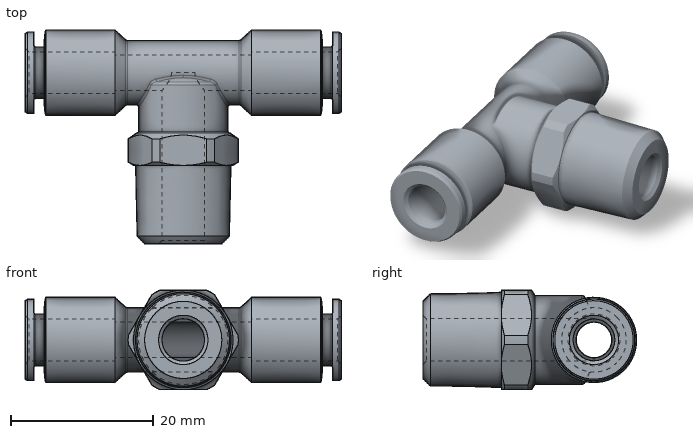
import cadquery as cq
import math


run_half_length = 22.2
run_tube_radius = 4.55
sleeve_radius = 6.0
sleeve_cone_start = 8.0
sleeve_cone_end = 9.6
sleeve_end = 19.55
sleeve_edge_length = 0.15
sleeve_edge_drop = 0.2
sleeve_crown_length = 0.25
sleeve_crown_radius = 4.45
cone_root_fillet = 0.45

collar_neck_radius = 3.65
collar_radius = 5.73
collar_thickness = 1.25
collar_edge_length = 0.35
collar_edge_drop = 0.2
collar_root_fillet = 0.2

passage_radius = 2.5
socket_radius = 2.95
socket_mouth_radius = 3.45
socket_floor = sleeve_cone_end

branch_radius = 6.25
cap_tip_radius = 4.35
cap_tip = 0.55
cap_rim = 1.4
cap_rim_fillet = 0.5
junction_fillet = 0.35

hex_top = 8.3
hex_bottom = 13.0
hex_across_flats = 14.0
hex_corner_radius = 7.73
hex_top_bevel = 0.98
hex_neck_radius = 6.65
hex_neck_length = 0.2
hex_bottom_bevel = 0.45

thread_top_radius = 6.7
thread_end_radius = 6.5
thread_tip_radius = 5.4
thread_tip_bevel = 1.05
overall_depth = 30.0
branch_length = overall_depth - sleeve_radius

branch_bore_radius = 2.97
branch_mouth_radius = 3.45

pick_margin = 0.05


def revolve_about_x(points):
    """Revolve a closed (x, radius) outline about the X axis."""
    outline = cq.Workplane("XY").polyline(points).close()
    return outline.revolve(360, (0, 0, 0), (1, 0, 0))


def revolve_about_y(points):
    """Revolve a closed (radius, distance toward -Y) outline about the Y axis."""
    section = [(radius, -distance) for radius, distance in points]
    outline = cq.Workplane("XY").polyline(section).close()
    return outline.revolve(360, (0, 0, 0), (0, 1, 0))


def both_ends(end_body):
    """Join a body on the +X end with its mirror image on the -X end."""
    return end_body.union(end_body.mirror("YZ"))


def edges_in_box(x_range, y_range, z_range):
    """Select edges that lie wholly inside a box, with a little clearance all round."""
    ranges = (x_range, y_range, z_range)
    lower_corner = tuple(low - pick_margin for low, high in ranges)
    upper_corner = tuple(high + pick_margin for low, high in ranges)
    return cq.selectors.BoxSelector(lower_corner, upper_corner, boundingbox=True)


def rings_about_x(x, radius):
    """Select circular edges in the plane at the given X, no larger than the given radius."""
    across = (-radius, radius)
    return edges_in_box((x, x), across, across)


def make_run():
    """Solid run: the tube, and a sleeve and a necked release collar at each end."""
    edge_end = sleeve_end - sleeve_crown_length
    collar_back = run_half_length - collar_thickness
    end_body = revolve_about_x([
        (0, 0),
        (0, run_tube_radius),
        (sleeve_cone_start, run_tube_radius),
        (sleeve_cone_end, sleeve_radius),
        (edge_end, sleeve_radius),
        (edge_end + sleeve_edge_length, sleeve_radius - sleeve_edge_drop),
        (sleeve_end, sleeve_crown_radius),
        (sleeve_end, collar_neck_radius),
        (collar_back, collar_neck_radius),
        (collar_back, collar_radius),
        (run_half_length - collar_edge_length, collar_radius),
        (run_half_length, collar_radius - collar_edge_drop),
        (run_half_length, 0),
    ])
    end_body = end_body.edges(rings_about_x(sleeve_cone_start, run_tube_radius)).fillet(cone_root_fillet)
    end_body = end_body.edges(rings_about_x(collar_back, collar_neck_radius)).fillet(collar_root_fillet)
    return both_ends(end_body)


def make_branch_stem():
    """Plain branch cylinder closed by a shallow cone with a rounded rim."""
    stem = revolve_about_y([
        (0, cap_tip),
        (cap_tip_radius, cap_tip),
        (branch_radius, cap_rim),
        (branch_radius, hex_top),
        (0, hex_top),
    ])
    across = (-branch_radius, branch_radius)
    rim = edges_in_box(across, (-cap_rim, -cap_rim), across)
    return stem.edges(rim).fillet(cap_rim_fillet)


def make_tee():
    """Run and branch stem joined, with the seam between them filleted."""
    tee = make_run().union(make_branch_stem())
    seam = edges_in_box(
        (-branch_radius, branch_radius),
        (-run_tube_radius, -cap_tip),
        (-run_tube_radius, run_tube_radius),
    )
    return tee.edges(seam).fillet(junction_fillet)


def make_hex():
    """Wrench hexagon with flats facing +Z and -Z, rounded corners and bevelled ends."""
    across_corners = hex_across_flats / math.cos(math.pi / 6)
    prism = (
        cq.Workplane("XZ", origin=(0, -hex_top, 0))
        .polygon(6, across_corners)
        .extrude(hex_bottom - hex_top)
    )
    envelope = revolve_about_y([
        (0, hex_top),
        (branch_radius, hex_top),
        (hex_neck_radius, hex_top + hex_neck_length),
        (hex_corner_radius, hex_top + hex_top_bevel),
        (hex_corner_radius, hex_bottom - hex_bottom_bevel),
        (hex_across_flats / 2, hex_bottom),
        (0, hex_bottom),
    ])
    return prism.intersect(envelope)


def make_thread():
    """Tapered thread body, without modelled threads, bevelled at the tip."""
    return revolve_about_y([
        (0, hex_bottom),
        (thread_top_radius, hex_bottom),
        (thread_end_radius, branch_length - thread_tip_bevel),
        (thread_tip_radius, branch_length),
        (0, branch_length),
    ])


def make_run_bore():
    """Through passage with a chamfered tube socket at each end."""
    return both_ends(revolve_about_x([
        (0, 0),
        (0, passage_radius),
        (socket_floor, passage_radius),
        (socket_floor, socket_radius),
        (run_half_length - (socket_mouth_radius - socket_radius), socket_radius),
        (run_half_length, socket_mouth_radius),
        (run_half_length, 0),
    ]))


def make_branch_bore():
    """Flat-ended bore from the run axis out through the thread, chamfered at its mouth."""
    return revolve_about_y([
        (0, 0),
        (branch_bore_radius, 0),
        (branch_bore_radius, branch_length - (branch_mouth_radius - branch_bore_radius)),
        (branch_mouth_radius, branch_length),
        (0, branch_length),
    ])


body = make_tee().union(make_hex()).union(make_thread())
result = body.cut(make_run_bore()).cut(make_branch_bore())